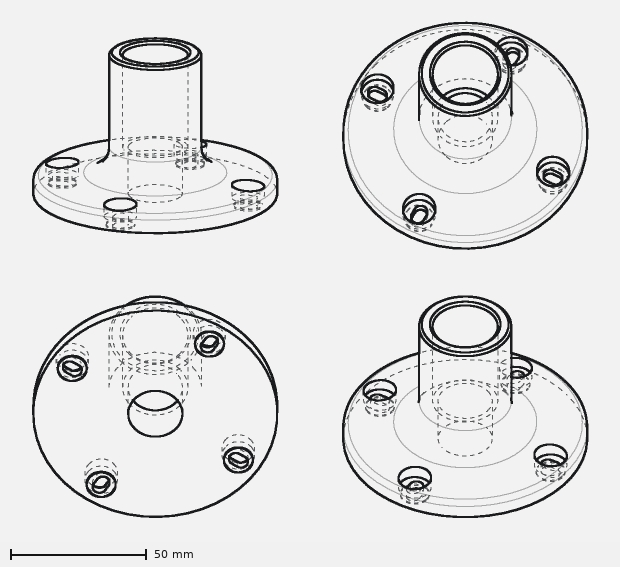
import cadquery as cq
import math

flange_diameter = 90.0
total_height = 55.5

foot_height = 0.5
rim_height = 7.0
rim_round = 2.0
cone_angle = 3.5

tube_diameter = 34.0
neck_fillet = 10.0
tube_chamfer = 1.0

socket_diameter = 24.0
through_diameter = 20.0

hole_offset = 25.8
hole_angles = (45, 135, 225, 315)
slot_width = 5.0
slot_travel = 2.3
counterbore_diameter = 12.0
counterbore_floor = 3.4
foot_diameter = 10.7

flange_radius = flange_diameter / 2
tube_radius = tube_diameter / 2
hole_circle_radius = hole_offset * math.sqrt(2)
rim_top = foot_height + rim_height
cone_top = rim_top + (flange_radius - tube_radius) * math.tan(math.radians(cone_angle))

neck_half_angle = math.radians((90 + cone_angle) / 2)
socket_floor = cone_top + neck_fillet / math.tan(neck_half_angle)


def solid_body():
    """Flange and tube turned about Z, with the neck and rim rounded."""
    body = (
        cq.Workplane("XZ")
        .moveTo(0, foot_height)
        .lineTo(flange_radius, foot_height)
        .lineTo(flange_radius, rim_top)
        .lineTo(tube_radius, cone_top)
        .lineTo(tube_radius, total_height)
        .lineTo(0, total_height)
        .close()
        .revolve(360, (0, 0, 0), (0, 1, 0))
    )
    neck_edge = cq.selectors.RadiusNthSelector(0)
    rim_edge = cq.selectors.RadiusNthSelector(-1)
    body = body.faces("%CONE").edges("%CIRCLE").edges(neck_edge).fillet(neck_fillet)
    body = body.faces("%CONE").edges("%CIRCLE").edges(rim_edge).fillet(rim_round)
    return body.faces(">Z").edges().chamfer(tube_chamfer)


def cylinder(diameter, bottom, top):
    """Cylinder on the Z axis between two heights."""
    return cq.Workplane("XY").workplane(offset=bottom).circle(diameter / 2).extrude(top - bottom)


def bore():
    """Through hole, wider socket above it and a chamfered socket mouth."""
    mouth = (
        cq.Workplane("XY")
        .workplane(offset=total_height)
        .circle(socket_diameter / 2 + tube_chamfer)
        .extrude(-tube_chamfer, taper=45)
    )
    socket = cylinder(socket_diameter, socket_floor, total_height)
    return cylinder(through_diameter, 0, total_height).union(socket).union(mouth)


def at_hole(shape, angle):
    """Move a shape from the Z axis to the screw hole at the given angle."""
    return shape.translate((hole_circle_radius, 0, 0)).rotate((0, 0, 0), (0, 0, 1), angle)


def screw_hole():
    """Radial slot below a round counterbore, centred on the Z axis."""
    slot = cq.Workplane("XY").slot2D(slot_width + slot_travel, slot_width).extrude(cone_top)
    return slot.union(cylinder(counterbore_diameter, counterbore_floor, cone_top))


result = solid_body().cut(bore())
for hole_angle in hole_angles:
    result = result.union(at_hole(cylinder(foot_diameter, 0, counterbore_floor), hole_angle))
    result = result.cut(at_hole(screw_hole(), hole_angle))